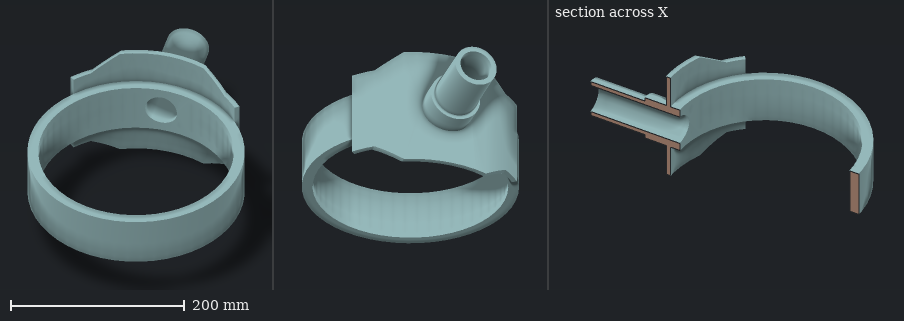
import cadquery as cq
import math

ring_radius = 125.0
ring_bore_radius = 112.5
ring_height = 59.8

saddle_thickness = 6.0
saddle_half_angle = math.radians(50)
saddle_height = 144.0
saddle_end_height = 102.0
saddle_crown_half_width = 50.0
saddle_shoulder_half_width = 79.7
saddle_radius = ring_radius + saddle_thickness

overall_length = 356.0
pipe_end = overall_length - ring_radius
pipe_diameter = 50.2
pipe_bore_diameter = 37.7
sleeve_diameter = 59.8
sleeve_end = pipe_end - 72.0

wall_middle = (ring_radius + ring_bore_radius) / 2


def cylinder_along_y(diameter, start, end):
    return (
        cq.Workplane("XZ", origin=(0, start, 0))
        .circle(diameter / 2)
        .extrude(start - end)
    )


def make_ring():
    return (
        cq.Workplane("XY")
        .circle(ring_radius)
        .circle(ring_bore_radius)
        .extrude(ring_height / 2, both=True)
    )


def make_saddle():
    end_x = math.sin(saddle_half_angle)
    end_y = math.cos(saddle_half_angle)
    curved_plate = (
        cq.Workplane("XY")
        .moveTo(-ring_radius * end_x, ring_radius * end_y)
        .threePointArc((0, ring_radius), (ring_radius * end_x, ring_radius * end_y))
        .lineTo(saddle_radius * end_x, saddle_radius * end_y)
        .threePointArc((0, saddle_radius), (-saddle_radius * end_x, saddle_radius * end_y))
        .close()
        .extrude(saddle_height / 2, both=True)
    )
    upper_right = [
        (saddle_crown_half_width, saddle_height / 2),
        (saddle_shoulder_half_width, saddle_end_height / 2),
        (saddle_radius, saddle_end_height / 2),
    ]
    lower_right = [(x, -z) for x, z in reversed(upper_right)]
    right_side = upper_right + lower_right
    left_side = [(-x, z) for x, z in reversed(right_side)]
    outline = (
        cq.Workplane("XZ")
        .polyline(right_side + left_side)
        .close()
        .extrude(-overall_length)
    )
    return curved_plate.intersect(outline)


sleeve = cylinder_along_y(sleeve_diameter, wall_middle, sleeve_end)
pipe = cylinder_along_y(pipe_diameter, wall_middle, pipe_end)
bore = cylinder_along_y(pipe_bore_diameter, 0, pipe_end)

branch = make_saddle().union(sleeve).union(pipe)
result = make_ring().union(branch).cut(bore)